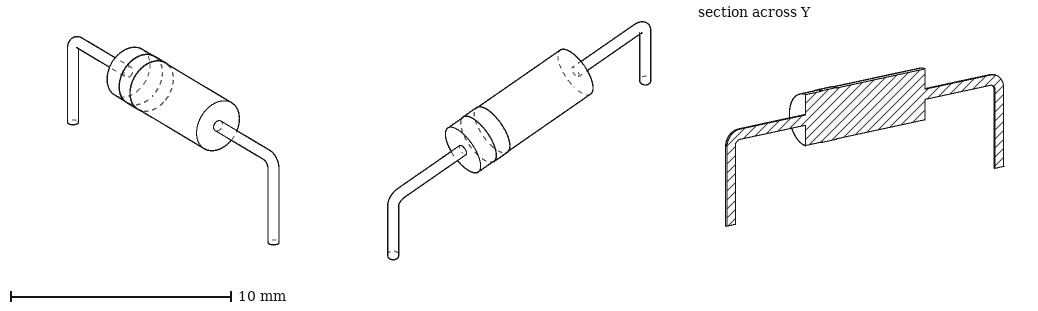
import cadquery as cq

lead_diameter = 0.51
lead_pitch = 15.23
bend_radius = 0.5
body_diameter = 2.44
body_length = 6.8
band_diameter = 2.48
band_offset = 0.94
band_width = 0.82
lead_drop = 4.24
axis_height = body_diameter / 2

first_lead_x = 0.0
second_lead_x = first_lead_x + lead_pitch
body_start_x = first_lead_x + (lead_pitch - body_length) / 2
body_middle_x = body_start_x + body_length / 2
tip_z = axis_height - lead_drop


def cylinder_along_x(start_x, length, diameter):
    """Cylinder on the body axis, growing in +X from start_x."""
    plane = cq.Workplane("YZ", origin=(start_x, 0, axis_height))
    return plane.circle(diameter / 2).extrude(length)


def bent_lead(lead_x, inward):
    """Lead from its tip up, round the bend and into the body; inward is +1 or -1 along X."""
    bend_end_x = lead_x + inward * bend_radius
    path = (
        cq.Workplane("XZ")
        .moveTo(lead_x, tip_z)
        .lineTo(lead_x, axis_height - bend_radius)
        .tangentArcPoint((bend_end_x, axis_height), relative=False)
        .lineTo(body_middle_x, axis_height)
    )
    tip = cq.Workplane("XY", origin=(lead_x, 0, tip_z)).circle(lead_diameter / 2)
    return tip.sweep(path)


body = cylinder_along_x(body_start_x, body_length, body_diameter)
band = cylinder_along_x(body_start_x + band_offset, band_width, band_diameter)
left_lead = bent_lead(first_lead_x, 1)
right_lead = bent_lead(second_lead_x, -1)

result = body.union(band).union(left_lead).union(right_lead)